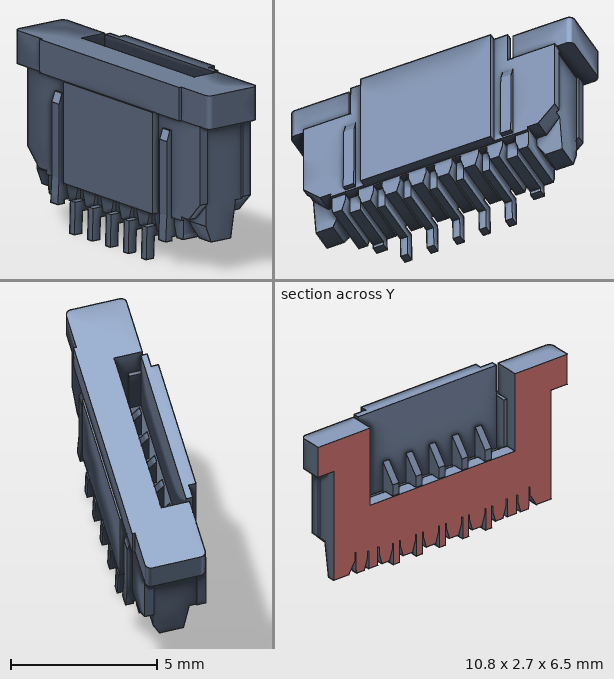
import cadquery as cq

OVERLAP = 0.05

TOP = 6.5
CAP_BOTTOM = 5.31
BODY_BOTTOM = 1.71
TEETH_BOTTOM = 1.0

CAP_LENGTH = 10.8
CAP_BACK = 0.95
CAP_FRONT = -1.19
CAP_CORNER_RADIUS = 0.2
CAP_BAND_LENGTH = 7.78
CAP_BAND_FRONT = -1.29

BODY_HALF_LENGTH = 4.81
BODY_HALF_DEPTH = 1.09
END_RECESS_HALF_DEPTH = 0.77
LEG_OUTER_X = 4.71
CHAMFER_TOP = 2.48
CHAMFER_BOTTOM = 1.84
CHAMFER_INNER_X = 4.17
TOOTH_ROW_HALF_LENGTH = 3.76

PANEL_LENGTH = 4.97
PANEL_FACE = 1.35

WIDE_SLOT_HALF_LENGTH = 3.13
NARROW_SLOT_HALF_LENGTH = 3.0
SLOT_FRONT = -0.05
SLOT_STEP = 0.44
SLOT_BACK = 0.86
WIDE_SLOT_FLOOR = 3.48
NARROW_SLOT_FLOOR = 3.26

CONTACT_COUNT = 5
CONTACT_PITCH = 1.0
CONTACT_WIDTH = 0.27
BLADE_FRONT = 0.03
BLADE_BACK = 0.58
BLADE_LOW = 3.91
BLADE_HIGH = 4.58

TEETH_HALF_DEPTH = 0.99
TOOTH_TAPER_TOP = 1.44
GAP_FLARE = 0.13
CONTACT_GAP_HALF_WIDTH = 0.16
CONTACT_GAP_TOP = 1.64
PIN_GAP_HALF_WIDTH = 0.25
END_TOOTH_TAPER = 0.04
END_TAPER_TOP = 1.17

BAR_BACK = 0.73

PIN_X = 3.0
PIN_WIDTH = 0.4


def box(x_range, y_range, z_range):
    """Box spanning the given (low, high) ranges."""
    size = [high - low for low, high in (x_range, y_range, z_range)]
    corner = (x_range[0], y_range[0], z_range[0])
    return cq.Workplane("XY").box(*size, centered=False).translate(corner)


def wide_box(half_length, y_range, z_range):
    """Box centred on X = 0."""
    return box((-half_length, half_length), y_range, z_range)


def plate_yz(points, center_x, width):
    """Plate of the given X width with a (Y, Z) outline."""
    plane = cq.Workplane("YZ", origin=(center_x - width / 2, 0, 0))
    return plane.polyline(points).close().extrude(width)


def plate_xz(points, half_depth):
    """Plate centred on Y = 0 with an (X, Z) outline."""
    return cq.Workplane("XZ").polyline(points).close().extrude(half_depth, both=True)


def mirrored(right_half):
    """Outline symmetric about X = 0, from the points of its right half."""
    return right_half + [(-x, z) for x, z in reversed(right_half)]


def make_cap():
    cap = wide_box(CAP_LENGTH / 2, (CAP_FRONT, CAP_BACK), (CAP_BOTTOM, TOP))
    cap = cap.edges("|Z").fillet(CAP_CORNER_RADIUS)
    band = wide_box(CAP_BAND_LENGTH / 2, (CAP_BAND_FRONT, 0), (CAP_BOTTOM, TOP))
    opening = wide_box(WIDE_SLOT_HALF_LENGTH, (SLOT_FRONT, BODY_HALF_DEPTH), (CAP_BOTTOM, TOP))
    return cap.union(band).cut(opening)


def make_body():
    outline = mirrored([
        (BODY_HALF_LENGTH, CAP_BOTTOM),
        (BODY_HALF_LENGTH, CHAMFER_TOP),
        (CHAMFER_INNER_X, CHAMFER_BOTTOM),
        (TOOTH_ROW_HALF_LENGTH, CHAMFER_BOTTOM),
        (TOOTH_ROW_HALF_LENGTH, BODY_BOTTOM),
    ])
    body = plate_xz(outline, BODY_HALF_DEPTH)
    recess_y = (-END_RECESS_HALF_DEPTH, END_RECESS_HALF_DEPTH)
    for side in (-1, 1):
        recess_x = sorted((side * LEG_OUTER_X, side * BODY_HALF_LENGTH))
        body = body.cut(box(recess_x, recess_y, (BODY_BOTTOM, CAP_BOTTOM)))
    return body


def make_panels():
    """Front panel below the cap, and back panel with the wall behind the cable opening."""
    half = PANEL_LENGTH / 2
    front = wide_box(half, (-PANEL_FACE, -BODY_HALF_DEPTH + OVERLAP), (BODY_BOTTOM, CAP_BOTTOM))
    back = wide_box(half, (BODY_HALF_DEPTH - OVERLAP, PANEL_FACE), (BODY_BOTTOM, TOP))
    wall = wide_box(
        NARROW_SLOT_HALF_LENGTH, (SLOT_BACK, BODY_HALF_DEPTH), (CAP_BOTTOM - OVERLAP, TOP)
    )
    return front.union(back).union(wall)


def make_cable_pocket():
    """Pocket in the body: a wide front part and a deeper, narrower back part."""
    wide = wide_box(WIDE_SLOT_HALF_LENGTH, (SLOT_FRONT, SLOT_STEP), (WIDE_SLOT_FLOOR, CAP_BOTTOM))
    narrow = wide_box(
        NARROW_SLOT_HALF_LENGTH, (SLOT_STEP, SLOT_BACK), (NARROW_SLOT_FLOOR, CAP_BOTTOM)
    )
    return wide.union(narrow)


def make_leg():
    """Tapered leg below the right-hand end of the body."""
    bottom = 1.06
    step = CHAMFER_TOP - 0.1
    front_taper_top = 1.65
    side = [
        (0.52, step),
        (0.31, bottom),
        (-0.54, bottom),
        (-END_RECESS_HALF_DEPTH, front_taper_top),
        (-END_RECESS_HALF_DEPTH, step),
    ]
    front = [
        (LEG_OUTER_X, CHAMFER_TOP),
        (LEG_OUTER_X, bottom),
        (4.06, bottom),
        (3.78, 1.52),
        (3.78, CHAMFER_TOP),
    ]
    block = plate_yz(side, LEG_OUTER_X / 2, LEG_OUTER_X)
    return block.intersect(plate_xz(front, BODY_HALF_DEPTH))


def make_gap(center_x, half_width, top):
    """Flared gap between two teeth."""
    flared = half_width + GAP_FLARE
    right = [(half_width, top), (half_width, TOOTH_TAPER_TOP), (flared, TEETH_BOTTOM)]
    return plate_xz(mirrored(right), BODY_HALF_DEPTH + OVERLAP).translate((center_x, 0, 0))


def make_teeth():
    outline = mirrored([
        (TOOTH_ROW_HALF_LENGTH, BODY_BOTTOM + OVERLAP),
        (TOOTH_ROW_HALF_LENGTH, END_TAPER_TOP),
        (TOOTH_ROW_HALF_LENGTH - END_TOOTH_TAPER, TEETH_BOTTOM),
    ])
    teeth = plate_xz(outline, TEETH_HALF_DEPTH)
    for x in contact_xs:
        teeth = teeth.cut(make_gap(x, CONTACT_GAP_HALF_WIDTH, CONTACT_GAP_TOP))
    for x in pin_xs:
        teeth = teeth.cut(make_gap(x, PIN_GAP_HALF_WIDTH, BODY_BOTTOM))
    return teeth


def make_contact(center_x):
    """Bar between the teeth with its tail bent down at the front, and the sloped blade in the pocket."""
    bar_bottom = 0.8
    tail_top = 1.16
    riser_front = -0.89
    tail = [
        (BAR_BACK, BODY_BOTTOM + OVERLAP),
        (BAR_BACK, bar_bottom),
        (-TEETH_HALF_DEPTH, bar_bottom),
        (-1.03, 0),
        (-PANEL_FACE, 0),
        (-1.32, tail_top),
        (riser_front, tail_top),
        (riser_front, BODY_BOTTOM + OVERLAP),
    ]
    blade_foot = NARROW_SLOT_FLOOR - OVERLAP
    blade = [
        (BLADE_FRONT, blade_foot),
        (BLADE_FRONT, BLADE_LOW),
        (BLADE_BACK, BLADE_HIGH),
        (BLADE_BACK, blade_foot),
    ]
    return [plate_yz(points, center_x, CONTACT_WIDTH) for points in (tail, blade)]


def make_pins(center_x):
    """Front pin with a foot bar in its gap between the teeth, and the shorter back pin."""
    inner = BODY_HALF_DEPTH - 0.03
    tip = 4.8
    shoulder = 4.43
    front_bottom = 0.86
    bend = 1.79
    front = [
        (-inner, tip),
        (-1.16, tip),
        (-1.29, shoulder),
        (-1.29, bend),
        (-1.34, front_bottom),
        (-inner, front_bottom),
        (-inner, TEETH_BOTTOM),
        (BAR_BACK, TEETH_BOTTOM),
        (BAR_BACK, BODY_BOTTOM + OVERLAP),
        (-inner, BODY_BOTTOM + OVERLAP),
    ]
    back = [
        (inner, tip),
        (BODY_HALF_DEPTH, tip),
        (1.21, shoulder),
        (1.25, bend),
        (inner, bend),
    ]
    return [plate_yz(points, center_x, PIN_WIDTH) for points in (front, back)]


contact_xs = [(i - (CONTACT_COUNT - 1) / 2) * CONTACT_PITCH for i in range(CONTACT_COUNT)]
pin_xs = (-PIN_X, PIN_X)

result = make_body().union(make_panels()).cut(make_cable_pocket()).union(make_cap())
leg = make_leg()
result = result.union(leg).union(leg.mirror("YZ")).union(make_teeth())
for x in contact_xs:
    for piece in make_contact(x):
        result = result.union(piece)
for x in pin_xs:
    for piece in make_pins(x):
        result = result.union(piece)